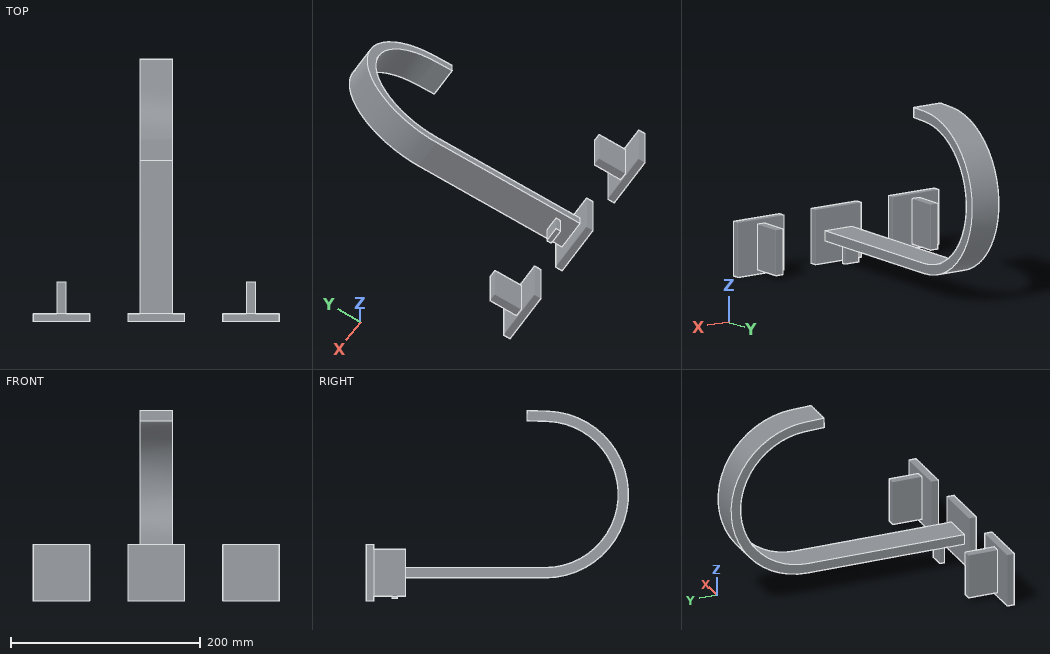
import cadquery as cq
import math

plate_size = 60.0
plate_thickness = 8.3
plate_spacing = 100.0
plate_middle_z = plate_size / 2

stem_width = 9.7
stem_height = 50.0
stem_length = 33.5

bar_width = 34.7
bar_thickness = 11.0
bend_radius = 88.2
bend_rear_y = 277.3
tip_length = 21.5
tip_rise = 1.7
bar_bottom_z = plate_middle_z - bar_thickness / 2

knob_width = 18.0
knob_depth = 5.8
knob_middle_y = 30.2
knob_bottom_z = 2.8
knob_height = bar_bottom_z - knob_bottom_z

edge_radius = 0.7


def block(width, length, height, x, front_y, bottom_z):
    """Box centred on x, running back from front_y and up from bottom_z."""
    box = cq.Workplane("XY").box(width, length, height, centered=(True, False, False))
    return box.translate((x, front_y, bottom_z))


def round_sides_and_rear(body):
    """Round the edges along Y and those of the rear face; the front edges stay sharp."""
    return body.edges("|Y or >Y").fillet(edge_radius)


def make_plate(x):
    plate = block(plate_size, plate_thickness, plate_size, x, 0, 0)
    return round_sides_and_rear(plate)


def make_stem(x):
    stem_bottom_z = plate_middle_z - stem_height / 2
    stem = block(stem_width, stem_length, stem_height, x, plate_thickness, stem_bottom_z)
    return round_sides_and_rear(stem)


def make_spout():
    center_y = bend_rear_y - bend_radius
    center_z = bar_bottom_z + bend_radius
    inner_radius = bend_radius - bar_thickness
    end_angle = math.radians(90 - tip_rise)
    slope = math.radians(tip_rise)

    def on_bend(radius, angle):
        return (center_y + radius * math.cos(angle), center_z + radius * math.sin(angle))

    def tip_corner(radius):
        y, z = on_bend(radius, end_angle)
        return (y - tip_length * math.cos(slope), z + tip_length * math.sin(slope))

    return (
        cq.Workplane("YZ")
        .moveTo(plate_thickness, bar_bottom_z)
        .lineTo(center_y, bar_bottom_z)
        .threePointArc(on_bend(bend_radius, 0), on_bend(bend_radius, end_angle))
        .lineTo(*tip_corner(bend_radius))
        .lineTo(*tip_corner(inner_radius))
        .lineTo(*on_bend(inner_radius, end_angle))
        .threePointArc(on_bend(inner_radius, 0), (center_y, bar_bottom_z + bar_thickness))
        .lineTo(plate_thickness, bar_bottom_z + bar_thickness)
        .close()
        .extrude(bar_width / 2, both=True)
    )


def make_knob():
    knob_front_y = knob_middle_y - knob_depth / 2
    knob = block(knob_width, knob_depth, knob_height, 0, knob_front_y, knob_bottom_z)
    return knob.edges("|Z").fillet(edge_radius)


plates = [make_plate(x) for x in (-plate_spacing, 0, plate_spacing)]
stems = [make_stem(x) for x in (-plate_spacing, plate_spacing)]
spout = make_spout()
knob = make_knob()

result = cq.Compound.makeCompound(
    [
        *[plate.val() for plate in plates],
        *[stem.val() for stem in stems],
        spout.val(),
        knob.val(),
    ]
)